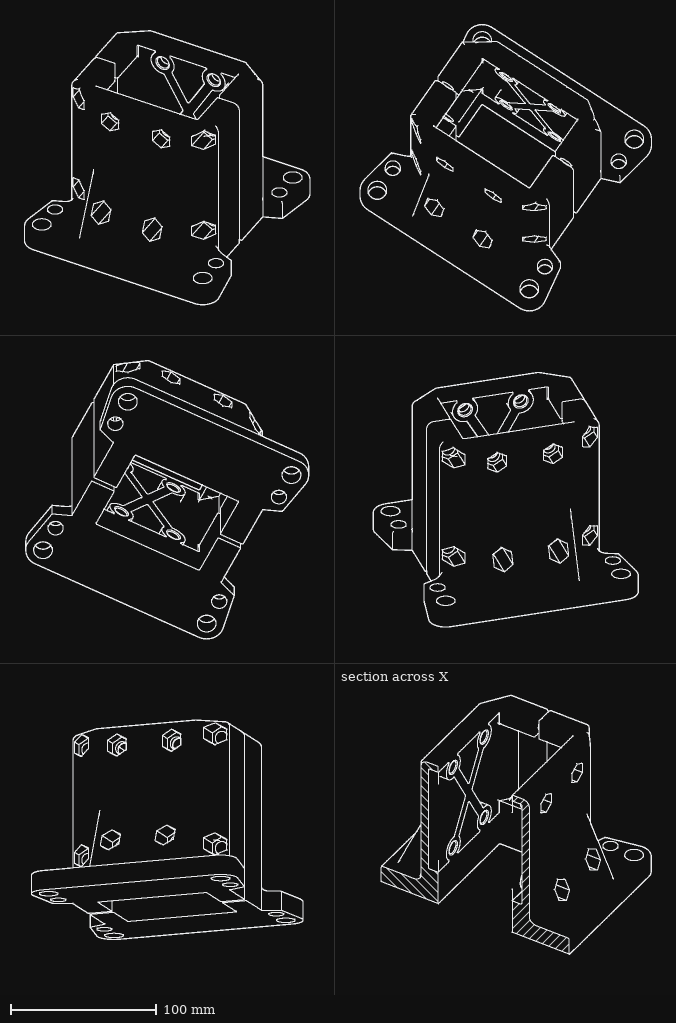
import cadquery as cq
import math

height = 120.0
split_y = 1.5
block_half_x = 57.5
block_y = 45.5
chamfer_x = 37.5
chamfer_y = 31.7
corner_fillet = 1.5
top_fillet = 5.0
split_fillet = 0.5

post_half_x = 40.0
post_half_y = 30.0
post_corner_fillet = 0.9
rim_fillet = 0.9

flange_half_x = 75.0
flange_y = 76.5
flange_thickness = 14.0
flange_corner_radius = 12.0
flange_taper = 10.0
flange_tip_y = 36.5
flange_edge_fillet = 1.5
root_fillet = 5.0
anchor_x = flange_half_x - flange_corner_radius
anchor_y = flange_y - flange_corner_radius
anchor_hole_diameter = 12.9
dowel_hole_diameter = 10.4

gusset_half_x = 32.5
gusset_top_z = 64.5
gusset_toe_y = 68.2
gusset_fillet = 1.5

bolt_hole_diameter = 9.0
nut_flats = 13.5
nut_corners = nut_flats / math.cos(math.pi / 6)
bolt_mid_z = 71.0
clamp_bolt_x = 49.0
clamp_bolt_dz = 39.0
clamp_nut_floor_y = 24.8
wall_bolt_x = 20.0
wall_bolt_dz = 35.0
wall_nut_floor_y = 35.8
bolt_rim_chamfer = 0.8

wall_pocket_floor_y = 37.8
wall_pocket_half_z = 43.5
boss_radius = 9.0
rib_width = 7.0
pocket_fillet = 0.9
side_pocket_half_z = 33.5
side_pocket_x = 50.6
side_pocket_y = 21.3
side_pocket_fillet = 3.4

margin = 0.08
sides = (1, -1)


def region(x, y, z):
    """Selector of what lies wholly inside the given X, Y and Z ranges."""
    low = (x[0] - margin, y[0] - margin, z[0] - margin)
    high = (x[1] + margin, y[1] + margin, z[1] + margin)
    return cq.selectors.BoxSelector(low, high, boundingbox=True)


def mirrored_outline(points):
    """Closed outline from its +X points, listed outward from the split, and their mirror images."""
    return cq.Workplane("XY").polyline(points + [(-x, y) for x, y in reversed(points)]).close()


def block():
    return mirrored_outline([
        (block_half_x, -split_y),
        (block_half_x, -chamfer_y),
        (chamfer_x, -block_y),
    ]).extrude(height)


def flange_outline():
    lean = math.radians(flange_taper)
    side_x = anchor_x + flange_corner_radius * math.cos(lean)
    side_y = anchor_y - flange_corner_radius * math.sin(lean)
    tip_x = side_x - (side_y - flange_tip_y) * math.tan(lean)
    middle = (math.pi / 2 - lean) / 2
    mid_x = anchor_x + flange_corner_radius * math.cos(middle)
    mid_y = anchor_y + flange_corner_radius * math.sin(middle)
    return (
        cq.Workplane("XY")
        .moveTo(block_half_x, -chamfer_y)
        .lineTo(tip_x, -flange_tip_y)
        .lineTo(side_x, -side_y)
        .threePointArc((mid_x, -mid_y), (anchor_x, -flange_y))
        .lineTo(-anchor_x, -flange_y)
        .threePointArc((-mid_x, -mid_y), (-side_x, -side_y))
        .lineTo(-tip_x, -flange_tip_y)
        .lineTo(-block_half_x, -chamfer_y)
        .close()
    )


def rooted_tower():
    """Block and flange joined by the root fillet."""
    far_x = 2 * flange_half_x
    far_y = chamfer_y - (far_x - block_half_x) * (block_y - chamfer_y) / (block_half_x - chamfer_x)
    tower = mirrored_outline([(far_x, -far_y), (chamfer_x, -block_y)]).extrude(height)
    tower = tower.edges("|Z").edges("<Y").fillet(corner_fillet)
    slab = cq.Workplane("XY").rect(6 * flange_half_x, 4 * flange_y).extrude(flange_thickness)
    level = (flange_thickness, flange_thickness)
    root = region((-far_x - 1.5, far_x + 1.5), (-block_y, 2 * flange_y), level)
    rooted = tower.union(slab).edges(root).edges("not >Y").fillet(root_fillet)
    return rooted.intersect(flange_outline().extrude(height).union(block()))


def round_flange_edge(body):
    """Round the upper edge of the flange, up to where it climbs the root fillet to the block."""
    band = region(
        (-flange_half_x, flange_half_x),
        (-flange_y, -chamfer_y),
        (flange_thickness, flange_thickness + root_fillet),
    )

    def on_outline(edge):
        reach_x = max(abs(edge.startPoint().x), abs(edge.endPoint().x))
        return reach_x > block_half_x + margin or edge.startPoint().y < margin - flange_y

    rim = [edge for edge in body.edges(band).vals() if on_outline(edge)]
    return body.newObject(rim).fillet(flange_edge_fillet)


def round_top(body):
    outer = [edge for edge in body.faces(">Z").edges().vals() if edge.Center().y < -split_y - margin]
    return body.newObject(outer).fillet(top_fillet)


def gusset():
    """Sloped wedge standing on the flange against the end wall, with its two slanted edges rounded."""
    wedge = (
        cq.Workplane("YZ", origin=(-gusset_half_x, 0, 0))
        .moveTo(-block_y, flange_thickness)
        .lineTo(-gusset_toe_y, flange_thickness)
        .lineTo(-block_y, gusset_top_z)
        .close()
        .extrude(2 * gusset_half_x)
    )
    return wedge.edges("not(|X or |Y or |Z)").fillet(gusset_fillet)


def add_gusset(body):
    """Join the gusset and round the edges where it meets the block and the flange."""
    wedge = gusset()
    joined = body.union(wedge)
    around = region(
        (-gusset_half_x, gusset_half_x),
        (-gusset_toe_y, -block_y),
        (flange_thickness, gusset_top_z),
    )
    touching = 0.0002

    def on_seam(edge):
        middle = cq.Vertex.makeVertex(*edge.positionAt(0.5).toTuple())
        return body.val().distance(middle) < touching and wedge.val().distance(middle) < touching

    seam = [edge for edge in joined.edges(around).vals() if on_seam(edge)]
    return joined.newObject(seam).fillet(gusset_fillet)


def post_opening():
    opening = cq.Workplane("XY").rect(2 * post_half_x, 2 * post_half_y).extrude(height)
    return opening.edges("|Z").fillet(post_corner_fillet)


def round_opening_rim(body):
    def on_rim(edge):
        middle = edge.Center()
        return abs(middle.x) < post_half_x + margin and -post_half_y - margin < middle.y < -split_y - margin

    rim = [edge for edge in body.faces(">Z").edges().vals() if on_rim(edge)]
    return body.newObject(rim).fillet(rim_fillet)


def bolt_plane(y, x=0, dz=0):
    """Plane facing -Y at the given Y, centred on the bolt pattern or on one bolt of it."""
    return cq.Workplane("XZ", origin=(x, y, bolt_mid_z + dz))


def bolt_pattern(x, dz):
    return [(side * x, level * dz) for side in sides for level in sides]


def wall_pocket():
    """Recess in the end wall of the opening, around four bolt bosses and two crossing ribs."""
    depth = wall_pocket_floor_y - post_half_y
    wall = bolt_plane(-post_half_y)
    kept = wall.pushPoints(bolt_pattern(wall_bolt_x, wall_bolt_dz)).circle(boss_radius).extrude(depth)
    rib_angle = math.degrees(math.atan2(wall_bolt_dz, wall_bolt_x))
    rib_length = 2 * math.hypot(wall_bolt_x, wall_bolt_dz)
    for side in sides:
        rib = (
            bolt_plane(-post_half_y)
            .transformed(rotate=(0, 0, side * rib_angle))
            .rect(rib_length, rib_width)
            .extrude(depth)
        )
        kept = kept.union(rib)
    recess = bolt_plane(-post_half_y).rect(2 * post_half_x, 2 * wall_pocket_half_z).extrude(depth)
    return recess.cut(kept).edges("|Y").fillet(pocket_fillet)


def round_wall_pocket_floor(body):
    floor = region(
        (-post_half_x, post_half_x),
        (-wall_pocket_floor_y, -wall_pocket_floor_y),
        (bolt_mid_z - wall_pocket_half_z, bolt_mid_z + wall_pocket_half_z),
    )
    return body.edges(floor).fillet(pocket_fillet)


def side_pocket(side):
    """Recess in one side wall of the opening, open at the split and slanted at its other end."""
    inner_x = post_half_x - 3
    return (
        cq.Workplane("XY", origin=(0, 0, bolt_mid_z - side_pocket_half_z))
        .polyline([
            (side * inner_x, 0),
            (side * side_pocket_x, 0),
            (side * side_pocket_x, -side_pocket_y),
            (side * post_half_x, -post_half_y),
            (side * inner_x, -post_half_y),
        ])
        .close()
        .extrude(2 * side_pocket_half_z)
    )


def round_side_pocket_ends(body):
    """Round the upright edges where the slanted ends of the side pockets reach the opening."""
    near = 0.8

    def on_end(edge):
        middle = edge.Center()
        return (
            abs(abs(middle.x) - post_half_x) < near
            and abs(middle.y + post_half_y) < near
            and abs(edge.Length() - 2 * side_pocket_half_z) < near
        )

    ends = [edge for edge in body.edges("|Z").vals() if on_end(edge)]
    return body.newObject(ends).fillet(side_pocket_fillet)


def bolt_cut(x, dz, nut_floor_y):
    """Four bolt holes along Y with hexagonal nut pockets open to the outside."""
    cutter = bolt_plane(0).pushPoints(bolt_pattern(x, dz)).circle(bolt_hole_diameter / 2).extrude(flange_y)
    for bolt_x, bolt_dz in bolt_pattern(x, dz):
        nut = (
            bolt_plane(-nut_floor_y, bolt_x, bolt_dz)
            .transformed(rotate=(0, 0, 30))
            .polygon(6, nut_corners)
            .extrude(flange_y)
        )
        cutter = cutter.union(nut)
    return cutter


def bolt_rim_cut(bolt_x, bolt_dz):
    """Chamfer of one wall bolt hole where it opens on the post."""
    return (
        bolt_plane(-post_half_y, bolt_x, bolt_dz)
        .circle(bolt_hole_diameter / 2 + bolt_rim_chamfer)
        .workplane(offset=bolt_rim_chamfer)
        .circle(bolt_hole_diameter / 2)
        .loft()
    )


def flange_holes():
    anchors = [(side * anchor_x, -anchor_y) for side in sides]
    dowels = [(side * anchor_x, -block_y) for side in sides]
    anchor_holes = cq.Workplane("XY").pushPoints(anchors).circle(anchor_hole_diameter / 2)
    dowel_holes = cq.Workplane("XY").pushPoints(dowels).circle(dowel_hole_diameter / 2)
    return anchor_holes.extrude(height).union(dowel_holes.extrude(height))


def round_split_face(body):
    """Round the outline of the split faces, except along the base and around the clamp bolts."""
    def on_outline(edge):
        box = edge.BoundingBox()
        in_split = abs(box.ymin + split_y) < 0.002 and abs(box.ymax + split_y) < 0.001
        around_bolt = edge.geomType() == "CIRCLE" and abs(abs(edge.arcCenter().x) - clamp_bolt_x) < 0.2
        return in_split and edge.Center().z > 0.2 and not around_bolt

    outline = [edge for edge in body.edges().vals() if on_outline(edge)]
    return body.newObject(outline).fillet(split_fillet)


def clamp_half():
    body = round_top(round_flange_edge(rooted_tower()))
    body = add_gusset(body)
    body = body.cut(post_opening()).cut(wall_pocket())
    for side in sides:
        body = body.cut(side_pocket(side))
    body = round_opening_rim(body)
    body = round_wall_pocket_floor(body)
    body = round_side_pocket_ends(body)
    body = body.cut(bolt_cut(clamp_bolt_x, clamp_bolt_dz, clamp_nut_floor_y))
    body = body.cut(bolt_cut(wall_bolt_x, wall_bolt_dz, wall_nut_floor_y))
    for bolt_x, bolt_dz in bolt_pattern(wall_bolt_x, wall_bolt_dz):
        body = body.cut(bolt_rim_cut(bolt_x, bolt_dz))
    body = body.cut(flange_holes())
    return round_split_face(body)


front_half = clamp_half()
back_half = front_half.mirror("XZ")

result = cq.Compound.makeCompound([front_half.val(), back_half.val()])